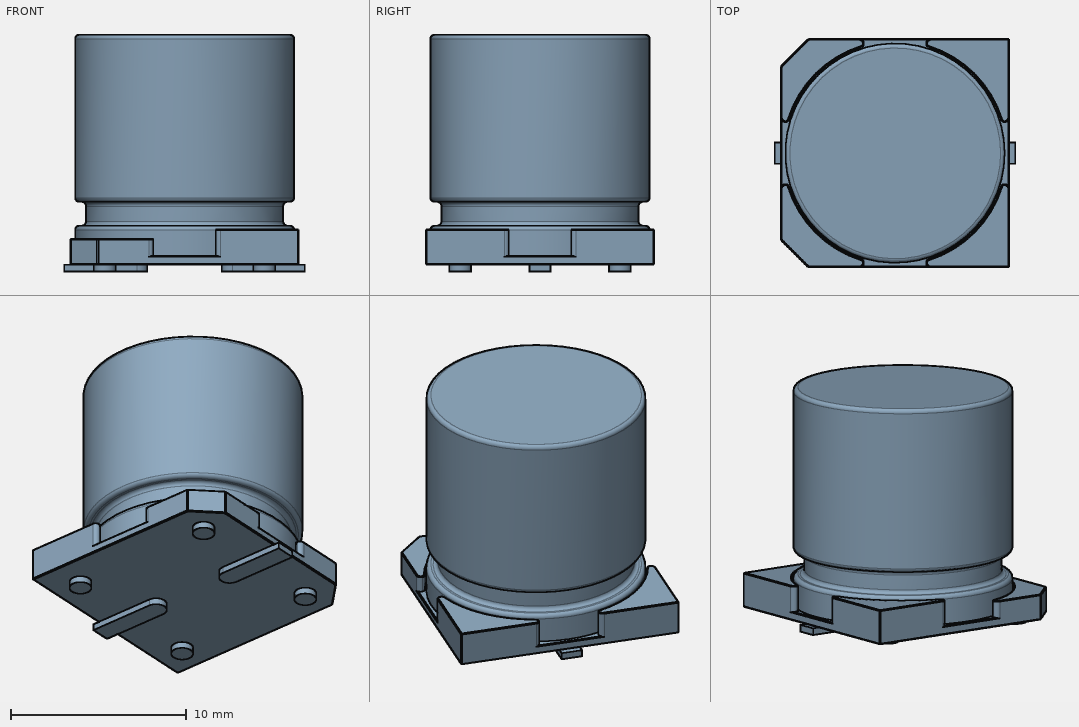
import cadquery as cq
import math

can_diameter = 12.5
neck_diameter = 11.25
top_z = 13.5
can_rim_fillet = 0.25
neck_fillet = 0.25
neck_top_z = 3.73
neck_bottom_z = 2.86

base_width = 13.0
corner_cut = 1.55
base_bottom_z = 0.4
floor_z = 0.9
edge_break = 0.05

low_post_z = 1.88
high_post_z = 2.4
pocket_radius = 6.34
slot_width = 3.53
outer_nose_fillet = 0.26
pocket_nose_fillet = 0.18

lead_span = 13.7
lead_width = 1.22
lead_inner_x = 2.11
foot_diameter = 1.25
foot_offset = 4.55

can_radius = can_diameter / 2
neck_radius = neck_diameter / 2
base_half = base_width / 2
slot_half = slot_width / 2


def make_can():
    """Revolved can with a rounded rim and a rolled-in neck near its foot."""
    shoulder_z = neck_top_z + neck_fillet
    collar_z = neck_bottom_z - neck_fillet
    outer_arc_x = can_radius - neck_fillet
    inner_arc_x = neck_radius + neck_fillet
    profile = (
        cq.Workplane("XZ")
        .moveTo(0, base_bottom_z + edge_break)
        .lineTo(can_radius, base_bottom_z + edge_break)
        .lineTo(can_radius, collar_z - neck_fillet)
        .radiusArc((outer_arc_x, collar_z), -neck_fillet)
        .lineTo(inner_arc_x, collar_z)
        .radiusArc((neck_radius, neck_bottom_z), neck_fillet)
        .lineTo(neck_radius, neck_top_z)
        .radiusArc((inner_arc_x, shoulder_z), neck_fillet)
        .lineTo(outer_arc_x, shoulder_z)
        .radiusArc((can_radius, shoulder_z + neck_fillet), -neck_fillet)
        .lineTo(can_radius, top_z - can_rim_fillet)
        .radiusArc((can_radius - can_rim_fillet, top_z), -can_rim_fillet)
        .lineTo(0, top_z)
        .close()
    )
    return profile.revolve(360, (0, 0, 0), (0, 1, 0))


def base_block(bottom_z, block_top_z):
    """Square block with the two -X corners cut off and its upright edges broken."""
    block = (
        cq.Workplane("XY")
        .rect(base_width, base_width)
        .extrude(block_top_z - bottom_z)
        .edges("|Z and <X")
        .chamfer(corner_cut)
    )
    return block.edges("|Z").chamfer(edge_break).translate((0, 0, bottom_z))


def make_plate():
    """Thin plate under the can, broken along its top and bottom rims."""
    return base_block(base_bottom_z, floor_z).faces("<Z or >Z").chamfer(edge_break)


def make_post(side_x, side_y, post_top_z):
    """One corner post: round pocket wall inside, rounded noses at the slots."""
    bottom_z = base_bottom_z + edge_break
    height = post_top_z - bottom_z
    quarter_size = base_half - slot_half
    quarter_center = slot_half + quarter_size / 2
    quarter = (
        cq.Workplane("XY", origin=(side_x * quarter_center, side_y * quarter_center, bottom_z))
        .rect(quarter_size, quarter_size)
        .extrude(height)
    )
    pocket = cq.Workplane("XY", origin=(0, 0, bottom_z)).circle(pocket_radius).extrude(height)
    post = base_block(bottom_z, post_top_z).intersect(quarter).cut(pocket)
    pocket_edge = math.sqrt(pocket_radius**2 - slot_half**2)
    for outward, nose_fillet in ((base_half, outer_nose_fillet), (pocket_edge, pocket_nose_fillet)):
        for x, y in ((slot_half, outward), (outward, slot_half)):
            edge_middle = (side_x * x, side_y * y, bottom_z + height / 2)
            post = post.edges(cq.NearestToPointSelector(edge_middle)).fillet(nose_fillet)
    return post.faces(">Z").chamfer(edge_break)


def make_lead(side_x):
    """Flat lead: square outer end, full-round inner end."""
    round_x = lead_inner_x + lead_width / 2
    length = lead_span / 2 - round_x
    bar = (
        cq.Workplane("XY", origin=(side_x * (round_x + length / 2), 0, 0))
        .rect(length, lead_width)
        .extrude(base_bottom_z)
    )
    inner_end = (
        cq.Workplane("XY", origin=(side_x * round_x, 0, 0))
        .circle(lead_width / 2)
        .extrude(base_bottom_z)
    )
    return bar.union(inner_end)


def make_feet():
    """Four round feet under the base."""
    return (
        cq.Workplane("XY")
        .rect(2 * foot_offset, 2 * foot_offset, forConstruction=True)
        .vertices()
        .circle(foot_diameter / 2)
        .extrude(base_bottom_z)
    )


result = make_plate().union(make_can()).union(make_feet())
for side_x, post_top_z in ((-1, low_post_z), (1, high_post_z)):
    result = result.union(make_lead(side_x))
    for side_y in (-1, 1):
        result = result.union(make_post(side_x, side_y, post_top_z))